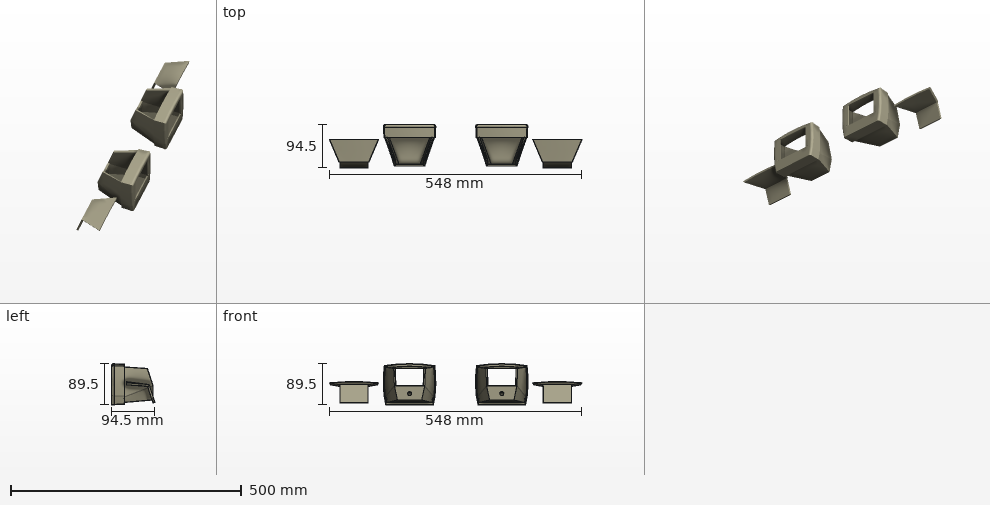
import cadquery as cq
import math


housing_spacing = 200.0
cover_spacing = 441.0
cover_drop = 35.5
cover_advance = 4.0

lip_depth = 6.5
lip_round = 5.0
ring_front = -28.0
lip_base_half = 51.5
lip_kink_half = 55.5
lip_kink_z = 20.0
lip_side_half = 57.0
lip_side_z = 50.5
lip_corner_half = 55.0
lip_corner_z = 85.0
lip_crown_z = 89.5
ring_step = 0.5
ring_draft = 0.5
wall = 5.0

panel_thickness = 3.0
window_half = 37.0
window_bottom = 26.0
window_top = 78.5
screw_diameter = 2.8
screw_x = 42.0
screw_z = 26.5

hood_inset = 1.5
hood_base_z = 5.0
nose_front = -90.5
nose_base_half = 26.5
nose_base_z = 10.5
nose_top_half = 33.0
nose_top_z = 41.0
nose_roof_half = 30.0
nose_roof_z = 78.0
nose_hole_diameter = 8.0
nose_hole_z = 24.0

fold_y = -78.0
fold_z = 79.5
rim_slope = 0.8

cover_back_gap = 0.5
cover_thickness = 4.5
cover_back = ring_front - cover_back_gap
cover_back_width = 107.0
cover_back_half = cover_back_width / 2
cover_front_half = 32.5
cover_back_z = 83.5
cover_crown = 3.0
cover_bevel = 3.0
flap_half = 30.5

slight_bow = 0.05
beyond = 27.5


def section(y, base, kink, side, corner, crown_z):
    """Closed outline in the plane at y: flat base, straight lower sides, curved sides and roof."""
    return (
        cq.Workplane("XZ", origin=(0, y, 0))
        .moveTo(-base[0], base[1])
        .lineTo(base[0], base[1])
        .lineTo(kink[0], kink[1])
        .threePointArc(side, corner)
        .threePointArc((0, crown_z), (-corner[0], corner[1]))
        .threePointArc((-side[0], side[1]), (-kink[0], kink[1]))
        .close()
        .val()
    )


def ruled(first, second):
    """Solid with straight lines running from one outline to the other."""
    return cq.Workplane(cq.Solid.makeLoft([first, second], True))


def ring_section(y, inset):
    """The lip outline moved inward by inset."""
    return section(
        y,
        (lip_base_half - inset, inset),
        (lip_kink_half - inset, lip_kink_z - inset),
        (lip_side_half - inset, lip_side_z),
        (lip_corner_half - inset, lip_corner_z - inset),
        lip_crown_z - inset,
    )


def hood_solid(inset):
    """Hood shape from the ring to the nose, with its base and sides, not its roof, moved in by inset."""
    step = ring_step + ring_draft + hood_inset
    back = section(
        ring_front,
        (lip_base_half - step - inset, hood_base_z + inset),
        (lip_kink_half - step - inset, lip_kink_z - step),
        (lip_side_half - step - inset, lip_side_z),
        (lip_corner_half - step - inset, lip_corner_z - step),
        lip_crown_z - step,
    )
    nose_side_half = (nose_top_half + nose_roof_half) / 2
    nose_side_z = (nose_top_z + nose_roof_z) / 2
    front = section(
        nose_front,
        (nose_base_half - inset, nose_base_z + inset),
        (nose_top_half - inset, nose_top_z),
        (nose_side_half - inset + slight_bow, nose_side_z),
        (nose_roof_half - inset, nose_roof_z),
        nose_roof_z + slight_bow,
    )
    return ruled(back, front)


def side_prism(points, half):
    """Outline of (Y, Z) points carried across X to half on each side."""
    return cq.Workplane("YZ").polyline(points).close().extrude(half, both=True)


def roof_opening():
    """Space above the sloping wall tops, wider toward the top."""
    def outline(y, half, z):
        return (
            cq.Workplane("XZ", origin=(0, y, 0))
            .polyline([
                (0, z - half * rim_slope),
                (half + beyond, z + beyond * rim_slope),
                (half + beyond, z + 2 * beyond),
                (-half - beyond, z + 2 * beyond),
                (-half - beyond, z + beyond * rim_slope),
            ])
            .close()
            .val()
        )
    return ruled(
        outline(ring_front, cover_back_half, cover_back_z),
        outline(fold_y, cover_front_half, fold_z),
    )


def slope_direction():
    """Unit vector down the sloping front, as (Y, Z)."""
    run = nose_front - fold_y
    fall = nose_top_z - fold_z
    length = math.hypot(run, fall)
    return run / length, fall / length


def flap_inner_points():
    """Inner fold and inner lower corner of the flap, one thickness behind the sloping front."""
    along_y, along_z = slope_direction()
    shift_y = -along_z * cover_thickness
    shift_z = along_y * cover_thickness
    lower = (nose_front + shift_y, nose_top_z + shift_z)
    roof_rise = (cover_back_z - fold_z) / (cover_back - fold_y)
    roof_start_z = fold_z - cover_thickness
    gradient = along_z / along_y
    y = (roof_start_z - roof_rise * fold_y - lower[1] + gradient * lower[0]) / (gradient - roof_rise)
    upper = (y, lower[1] + gradient * (y - lower[0]))
    return upper, lower


def block(x_size, y_range, z_range):
    """Box centred in X, between the given limits in Y and Z."""
    y_low, y_high = y_range
    z_low, z_high = z_range
    return cq.Workplane("XY").box(x_size, y_high - y_low, z_high - z_low).translate(
        (0, (y_low + y_high) / 2, (z_low + z_high) / 2)
    )


def round_hole(x, y, z, diameter, reach):
    """Cutter along Y that runs to reach on both sides of y."""
    return (
        cq.Workplane("XZ", origin=(x, y, z))
        .circle(diameter / 2)
        .extrude(reach, both=True)
    )


def lip_and_ring():
    lip = ruled(ring_section(0, 0), ring_section(-lip_depth, 0))
    lip = lip.faces(">Y").edges("not <Z").fillet(lip_round)
    ring = ruled(
        ring_section(-lip_depth, ring_step),
        ring_section(ring_front, ring_step + ring_draft),
    )
    return lip.union(ring)


def open_hood():
    """Hood without a roof, its front cut back along a slope above the nose."""
    slope_cut = side_prism(
        [
            (fold_y, fold_z),
            (fold_y, fold_z + beyond),
            (nose_front - beyond, fold_z + beyond),
            (nose_front - beyond, nose_top_z),
            (nose_front, nose_top_z),
        ],
        lip_side_half,
    )
    return hood_solid(0).cut(roof_opening()).cut(slope_cut)


def cavity():
    """Hollow from the back panel to the nose plate."""
    behind_nose = block(2 * lip_side_half, (nose_front + wall, 0), (0, lip_crown_z))
    hood_cavity = hood_solid(wall).intersect(behind_nose)
    ring_inset = ring_step + wall
    ring_cavity = ruled(
        ring_section(-panel_thickness, ring_inset),
        ring_section(ring_front, ring_inset + ring_draft),
    )
    return hood_cavity, ring_cavity


def flap_seat():
    """Recess in the sloping front that takes the flap of the cover."""
    upper, lower = flap_inner_points()
    seat = side_prism(
        [
            (fold_y, fold_z + beyond),
            upper,
            lower,
            (nose_front, nose_top_z),
            (nose_front - beyond, fold_z),
        ],
        flap_half,
    )
    before_ring = block(
        2 * lip_side_half, (nose_front - beyond, ring_front), (0, lip_crown_z + beyond)
    )
    return seat.intersect(before_ring)


def make_housing():
    housing = lip_and_ring().union(open_hood())
    for hollow in cavity():
        housing = housing.cut(hollow)
    housing = housing.cut(flap_seat())
    window = block(2 * window_half, (-2 * panel_thickness, beyond), (window_bottom, window_top))
    housing = housing.cut(window)
    for screw_side in (-1, 1):
        housing = housing.cut(
            round_hole(screw_side * screw_x, 0, screw_z, screw_diameter, 2 * panel_thickness)
        )
    return housing.cut(round_hole(0, nose_front, nose_hole_z, nose_hole_diameter, 2 * wall))


def make_cover():
    def outline(y, half, z, crown):
        under = half - cover_bevel
        under_z = z - cover_thickness
        return (
            cq.Workplane("XZ", origin=(0, y, 0))
            .moveTo(-half, z)
            .threePointArc((0, z + crown), (half, z))
            .lineTo(under, under_z)
            .threePointArc((0, under_z + crown), (-under, under_z))
            .close()
            .val()
        )
    roof = ruled(
        outline(cover_back, cover_back_half, cover_back_z, cover_crown),
        outline(fold_y, cover_front_half, fold_z, slight_bow),
    )
    upper, lower = flap_inner_points()
    flap = side_prism([(fold_y, fold_z), (nose_front, nose_top_z), lower, upper], flap_half)
    return roof.union(flap)


housings = []
covers = []
for side in (-1, 1):
    housings.append(make_housing().translate((side * housing_spacing / 2, 0, 0)).val())
    covers.append(
        make_cover().translate((side * cover_spacing / 2, -cover_advance, -cover_drop)).val()
    )

result = cq.Compound.makeCompound([*housings, *covers])